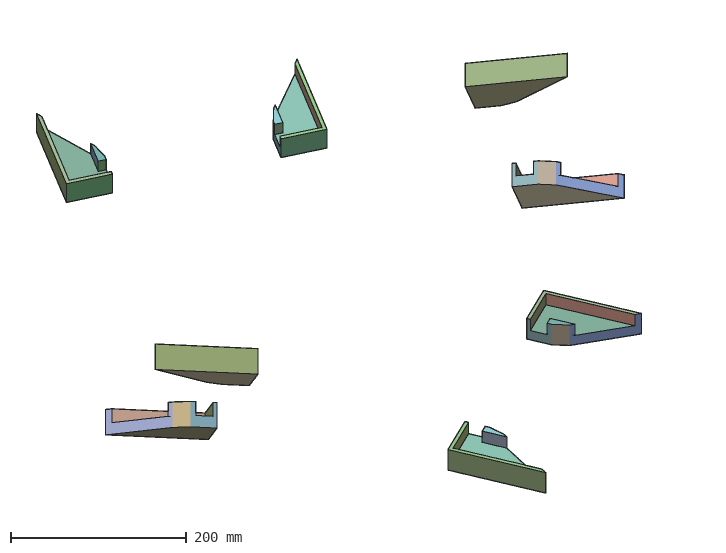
import cadquery as cq

total_width = 310.0
length = 119.5
height = 30.0

depth = 55.0
wall = 4.5
floor_thickness = 13.5

bevel_start = 69.0
bevel_end = 88.7
bevel_depth = 6.2

block_depth = 9.5
block_end_gap = 24.8

outer_y = -total_width / 2
inner_y = outer_y + depth


def wedge_plate(plate_height):
    """Plan outline of the bracket, extruded up from the base."""
    outline = [
        (0, outer_y),
        (length, outer_y),
        (length, inner_y),
        (bevel_end, inner_y),
        (bevel_start, inner_y - bevel_depth),
    ]
    return cq.Workplane("XY").polyline(outline).close().extrude(plate_height)


def upright(x_start, x_end, y_start, y_end):
    """Full-height rectangular block between two X and two Y limits."""
    return cq.Workplane("XY").box(
        x_end - x_start, y_end - y_start, height, centered=False
    ).translate((x_start, y_start, 0))


def make_bracket():
    """Bracket on the -Y side, with its uprights trimmed to the wedge outline."""
    side_wall = upright(0, length, outer_y, outer_y + wall)
    end_wall = upright(length - wall, length, outer_y, inner_y)
    stop_block = upright(0, length - block_end_gap, inner_y - block_depth, inner_y)
    uprights = side_wall.union(end_wall).union(stop_block)
    return wedge_plate(floor_thickness).union(uprights.intersect(wedge_plate(height)))


brackets = []
for mirrored in (False, True):
    bracket = make_bracket()
    if mirrored:
        bracket = bracket.mirror("XZ")
    brackets.append(bracket)

result = cq.Compound.makeCompound([solid for bracket in brackets for solid in bracket.vals()])